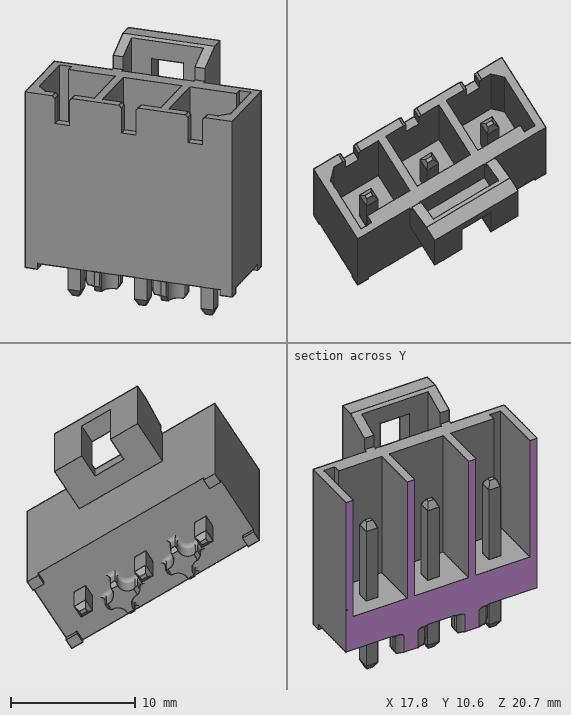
import cadquery as cq
import math

CIRCUITS = 3
PITCH = 5.7
BODY_LENGTH = 17.75
BODY_DEPTH = 6.8
BODY_TOP = 15.32
STANDOFF = 0.5
FOOT_LENGTH = 1.05
FOOT_DEPTH = 0.88
FRONT = -BODY_DEPTH / 2
BACK = BODY_DEPTH / 2

CAVITY_WIDTH = 5.0
CAVITY_DEPTH = 11.5
FRONT_WALL = 0.72
BACK_WALL = 1.23
KEY_WALL = 0.58
KEY_WIDTH = 1.0
CORNER_CHAMFER = 0.8
CAVITY_FLOOR = BODY_TOP - CAVITY_DEPTH
CAVITY_FRONT = FRONT + FRONT_WALL
CAVITY_BACK = BACK - BACK_WALL

SLOT_WIDTH = 1.23
SLOT_DEPTH = 2.38
SLOT_LEAD_IN = 0.22

LATCH_WIDTH = 7.87
LATCH_REACH = 3.8
LATCH_RISE = 2.17
LATCH_HEIGHT = 8.18
LATCH_CREST = 1.27
LATCH_SLOPE_DROP = 1.05
LATCH_GAP = 0.27
LATCH_POCKET_WIDTH = 6.15
LATCH_PLATE = 1.6
LATCH_FLOOR = 1.5
WINDOW_WIDTH = 2.72
WINDOW_RISE = 0.45
WINDOW_UNDERCUT = 0.45
LATCH_BACK = BACK + LATCH_REACH
LATCH_TOP = BODY_TOP + LATCH_RISE
LATCH_BOTTOM = LATCH_TOP - LATCH_HEIGHT
PLATE_FRONT = LATCH_BACK - LATCH_PLATE

PIN_SIZE = 1.09
PIN_Y = -0.06
PIN_TIP_X = 0.55
PIN_TIP_Y = 0.32
PIN_TIP_LENGTH = 0.62
PIN_BOTTOM = -3.24
PIN_TOP_RECESS = 4.0
PIN_TOP = BODY_TOP - PIN_TOP_RECESS

PEG_Y = -1.45
PEG_RADIUS = 1.53
PEG_LENGTH = 1.96
PEG_RIB_HALF = 0.29
PEG_TIP_HALF = 0.22
PEG_SHOULDER_RADIUS = 1.36
PEG_ROOT_RADIUS = 1.16
PEG_CHAMFER_HEIGHT = 0.5
PEG_CHAMFER_WIDTH = 0.3
PEG_FILLET = 0.36
PEG_RIBS = 4


def centred_positions(count):
    """X positions of `count` items spaced by the pitch about X = 0."""
    return [(index - (count - 1) / 2) * PITCH for index in range(count)]


def block(x_min, x_max, y_min, y_max, z_min, z_max):
    """Axis-aligned box given by its limits."""
    size = (x_max - x_min, y_max - y_min, z_max - z_min)
    return cq.Workplane("XY").box(*size, centered=False).translate((x_min, y_min, z_min))


def centred_block(x, width, y_min, y_max, z_min, z_max):
    """Box of the given width centred on X = x."""
    return block(x - width / 2, x + width / 2, y_min, y_max, z_min, z_max)


def housing_block():
    body = centred_block(0, BODY_LENGTH, FRONT, BACK, STANDOFF, BODY_TOP)
    half = BODY_LENGTH / 2
    for x in (-half, half - FOOT_LENGTH):
        for y in (FRONT, BACK - FOOT_DEPTH):
            body = body.union(block(x, x + FOOT_LENGTH, y, y + FOOT_DEPTH, 0, STANDOFF))
    return body


def cavities():
    """Contact cavities; the outer two have a keying groove and a chamfered corner."""
    cut = cq.Workplane("XY")
    for x in centred_positions(CIRCUITS):
        cut = cut.union(centred_block(x, CAVITY_WIDTH, CAVITY_FRONT, CAVITY_BACK, CAVITY_FLOOR, BODY_TOP))
    half = PITCH * (CIRCUITS - 1) / 2 + CAVITY_WIDTH / 2
    for side in (-1, 1):
        x = side * (half - KEY_WIDTH / 2)
        groove_front = CAVITY_FRONT + CORNER_CHAMFER
        cut = cut.union(centred_block(x, KEY_WIDTH, groove_front, BACK - KEY_WALL, CAVITY_FLOOR, BODY_TOP))
        corner = (
            cq.Workplane("XY", origin=(side * half, CAVITY_FRONT, CAVITY_FLOOR))
            .polyline([(0, 0), (-side * CORNER_CHAMFER, 0), (0, CORNER_CHAMFER)])
            .close()
            .extrude(CAVITY_DEPTH)
        )
        cut = cut.cut(corner)
    return cut


def front_slot(x):
    """Slot through the front wall, flared at the mating face."""
    half = SLOT_WIDTH / 2
    flare = half + SLOT_LEAD_IN
    return (
        cq.Workplane("XZ", origin=(x, CAVITY_FRONT, BODY_TOP))
        .polyline([
            (-half, -SLOT_DEPTH),
            (half, -SLOT_DEPTH),
            (half, -SLOT_LEAD_IN),
            (flare, 0),
            (-flare, 0),
            (-half, -SLOT_LEAD_IN),
        ])
        .close()
        .extrude(FRONT_WALL)
    )


def latch():
    cheek_front = BACK + LATCH_GAP
    frame = (
        cq.Workplane("YZ")
        .polyline([
            (BACK, LATCH_BOTTOM),
            (LATCH_BACK, LATCH_BOTTOM),
            (LATCH_BACK, LATCH_TOP),
            (LATCH_BACK - LATCH_CREST, LATCH_TOP),
            (cheek_front, LATCH_TOP - LATCH_SLOPE_DROP),
            (cheek_front, BODY_TOP),
            (BACK, BODY_TOP),
        ])
        .close()
        .extrude(LATCH_WIDTH / 2, both=True)
    )
    pocket = centred_block(0, LATCH_POCKET_WIDTH, BACK, PLATE_FRONT, LATCH_BOTTOM + LATCH_FLOOR, LATCH_TOP)
    window = centred_block(0, WINDOW_WIDTH, PLATE_FRONT - WINDOW_UNDERCUT, LATCH_BACK,
                           LATCH_BOTTOM, BODY_TOP + WINDOW_RISE)
    return frame.cut(pocket).cut(window)


def pin_tip(x, z, direction):
    """Tapered pin end growing from height z up (+1) or down (-1)."""
    return (
        cq.Workplane("XY", origin=(x, PIN_Y, z))
        .rect(PIN_SIZE, PIN_SIZE)
        .workplane(offset=direction * PIN_TIP_LENGTH)
        .rect(PIN_TIP_X, PIN_TIP_Y)
        .loft()
    )


def pin(x):
    shaft_bottom = PIN_BOTTOM + PIN_TIP_LENGTH
    shaft_top = PIN_TOP - PIN_TIP_LENGTH
    shaft_front = PIN_Y - PIN_SIZE / 2
    shaft = centred_block(x, PIN_SIZE, shaft_front, shaft_front + PIN_SIZE, shaft_bottom, shaft_top)
    return shaft.union(pin_tip(x, shaft_bottom, -1)).union(pin_tip(x, shaft_top, 1))


def rotated(point, step):
    """Point turned about the origin by a number of rib steps."""
    angle = step * 2 * math.pi / PEG_RIBS
    x, y = point
    return (x * math.cos(angle) - y * math.sin(angle), x * math.sin(angle) + y * math.cos(angle))


def peg(x):
    """Cross-shaped peg with quarter-round hollows, chamfered at the ends of its ribs."""
    hollow_radius = PEG_ROOT_RADIUS - PEG_RIB_HALF
    hollow_middle = PEG_ROOT_RADIUS - hollow_radius * math.sqrt(0.5)
    outline = cq.Workplane("XY", origin=(x, PEG_Y, STANDOFF)).moveTo(PEG_ROOT_RADIUS, -PEG_RIB_HALF)
    for step in range(PEG_RIBS):
        outline = (
            outline.lineTo(*rotated((PEG_SHOULDER_RADIUS, -PEG_RIB_HALF), step))
            .lineTo(*rotated((PEG_RADIUS, -PEG_TIP_HALF), step))
            .lineTo(*rotated((PEG_RADIUS, PEG_TIP_HALF), step))
            .lineTo(*rotated((PEG_SHOULDER_RADIUS, PEG_RIB_HALF), step))
            .lineTo(*rotated((PEG_ROOT_RADIUS, PEG_RIB_HALF), step))
            .threePointArc(
                rotated((hollow_middle, hollow_middle), step),
                rotated((PEG_ROOT_RADIUS, -PEG_RIB_HALF), step + 1),
            )
        )
    ribbed = outline.close().extrude(-PEG_LENGTH)
    envelope = (
        cq.Workplane("XY", origin=(x, PEG_Y, STANDOFF - PEG_LENGTH))
        .rect(2 * PEG_RADIUS, 2 * PEG_RADIUS)
        .extrude(PEG_LENGTH)
        .faces("<Z")
        .chamfer(PEG_CHAMFER_HEIGHT, PEG_CHAMFER_WIDTH)
    )
    return ribbed.intersect(envelope)


def peg_roots(x):
    """Selector for the edges where a peg meets the housing floor."""
    margin = 0.03
    reach = PEG_RADIUS + margin
    return cq.selectors.BoxSelector(
        (x - reach, PEG_Y - reach, STANDOFF - margin),
        (x + reach, PEG_Y + reach, STANDOFF + margin),
        boundingbox=True,
    )


body = housing_block().union(latch())
for peg_x in centred_positions(CIRCUITS - 1):
    body = body.union(peg(peg_x))
    body = body.edges(peg_roots(peg_x)).fillet(PEG_FILLET)

body = body.cut(cavities())
for circuit_x in centred_positions(CIRCUITS):
    body = body.cut(front_slot(circuit_x))
    body = body.union(pin(circuit_x))

result = body